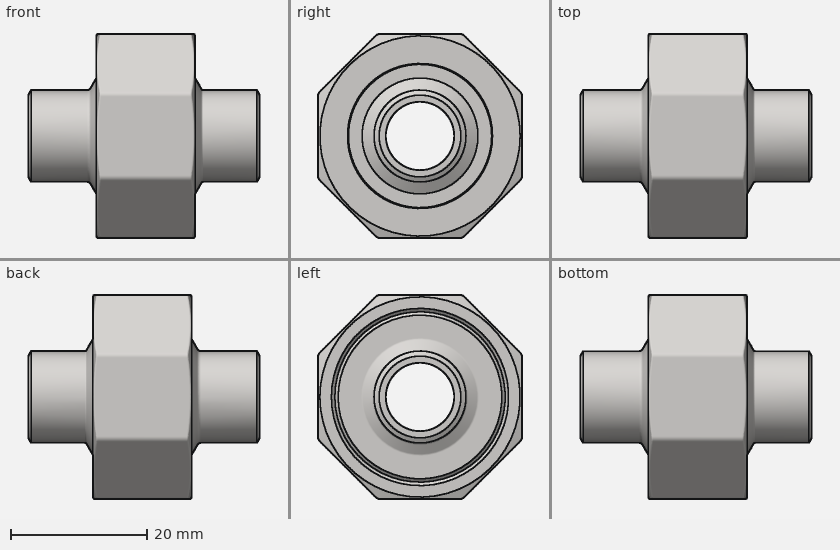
import cadquery as cq
import math

total_length = 34.0
left_end = -total_length / 2
right_end = total_length / 2
nut_left_face = -7.0
nut_right_face = 7.5
nut_length = nut_right_face - nut_left_face

side_count = 8
half_side_angle = 180 / side_count
across_flats = 30.0
corner_radius = 1.0
face_circle_radius = 14.7
end_bevel_angle = 20.0
bevel_edge_radius = 0.27
nut_bore_diameter = 25.0
bore_mouth_diameter = 26.0
web_thickness = 3.0
web_hole_diameter = 21.3

pipe_diameter = 13.5
bore_diameter = 10.0
bore_edge_radius = 0.2
pipe_end_face_diameter = 12.0
weld_bevel_angle = 60.0
cone_base_diameter = 17.0
cone_angle = 60.0
plug_cone_blend_radius = 0.5
collar_cone_blend_radius = 0.25
plug_face_diameter = 24.0
collar_diameter = 24.38
collar_thickness = 3.0
hub_diameter = 21.0

collar_right = nut_right_face - web_thickness
joint_plane = collar_right - collar_thickness


def axial_disc(start, end, diameter):
    """Solid cylinder on the X axis."""
    return cq.Workplane("YZ", origin=(start, 0, 0)).circle(diameter / 2).extrude(end - start)


def revolve_profile(points):
    """Turn (x, radius) points about the X axis."""
    return cq.Workplane("XY").polyline(points).close().revolve(360, (0, 0, 0), (1, 0, 0))


def circle_edges(body, x, radius):
    """Pick the circular edge of a turned body at a given x and radius."""
    tolerance = 0.005
    low = (x - tolerance, -radius - tolerance, -radius - tolerance)
    high = (x + tolerance, radius + tolerance, radius + tolerance)
    found = [
        edge
        for edge in body.edges(cq.selectors.BoxSelector(low, high, boundingbox=True)).vals()
        if edge.geomType() == "CIRCLE" and abs(edge.radius() - radius) < tolerance
    ]
    return body.newObject(found)


def make_nut():
    corner_diameter = across_flats / math.cos(math.radians(half_side_angle))
    nut = (
        cq.Workplane("YZ", origin=(nut_left_face, 0, 0))
        .transformed(rotate=(0, 0, half_side_angle))
        .polygon(side_count, corner_diameter)
        .extrude(nut_length)
        .edges("|X")
        .fillet(corner_radius)
    )

    outer = corner_diameter / 2
    bevel_depth = (outer - face_circle_radius) * math.tan(math.radians(end_bevel_angle))
    envelope = revolve_profile([
        (nut_left_face, 0),
        (nut_left_face, face_circle_radius),
        (nut_left_face + bevel_depth, outer),
        (nut_right_face - bevel_depth, outer),
        (nut_right_face, face_circle_radius),
        (nut_right_face, 0),
    ])
    nut = nut.intersect(envelope)
    side_end_edges = nut.faces("#X").edges("not(|X)")
    nut = side_end_edges.fillet(bevel_edge_radius)

    mouth_chamfer = (bore_mouth_diameter - nut_bore_diameter) / 2
    cavity = revolve_profile([
        (nut_left_face, 0),
        (nut_left_face, bore_mouth_diameter / 2),
        (nut_left_face + mouth_chamfer, nut_bore_diameter / 2),
        (collar_right, nut_bore_diameter / 2),
        (collar_right, web_hole_diameter / 2),
        (nut_right_face, web_hole_diameter / 2),
        (nut_right_face, 0),
    ])
    return nut.cut(cavity)


def cone_start(end, face):
    """Return the x where the cone that rises to a flange face leaves the pipe."""
    cone_height = (cone_base_diameter - pipe_diameter) / 2
    cone_length = cone_height / math.tan(math.radians(cone_angle))
    return face - math.copysign(cone_length, face - end)


def make_pipe(end, face):
    """Solid pipe from its open end to its flange face, with weld bevel and cone."""
    bevel_height = (pipe_diameter - pipe_end_face_diameter) / 2
    bevel_length = bevel_height / math.tan(math.radians(weld_bevel_angle))
    return revolve_profile([
        (end, 0),
        (end, pipe_end_face_diameter / 2),
        (end + math.copysign(bevel_length, face - end), pipe_diameter / 2),
        (cone_start(end, face), pipe_diameter / 2),
        (face, cone_base_diameter / 2),
        (face, 0),
    ])


def bore_through(body, end):
    """Cut the through bore and round its edge at the pipe's open end."""
    bored = body.cut(axial_disc(left_end, right_end, bore_diameter))
    return circle_edges(bored, end, bore_diameter / 2).fillet(bore_edge_radius)


def make_plug_tailpiece():
    edge_chamfer = (nut_bore_diameter - plug_face_diameter) / 2
    plug = axial_disc(nut_left_face, joint_plane, nut_bore_diameter).faces("<X").chamfer(edge_chamfer)
    tailpiece = make_pipe(left_end, nut_left_face).union(plug)
    cone_tip = cone_start(left_end, nut_left_face)
    tailpiece = circle_edges(tailpiece, cone_tip, pipe_diameter / 2).fillet(plug_cone_blend_radius)
    tailpiece = circle_edges(tailpiece, nut_left_face, cone_base_diameter / 2).fillet(plug_cone_blend_radius)
    return bore_through(tailpiece, left_end)


def make_collar_tailpiece():
    collar = axial_disc(joint_plane, collar_right, collar_diameter)
    hub = axial_disc(collar_right, nut_right_face, hub_diameter)
    tailpiece = make_pipe(right_end, nut_right_face).union(collar).union(hub)
    cone_tip = cone_start(right_end, nut_right_face)
    tailpiece = circle_edges(tailpiece, cone_tip, pipe_diameter / 2).fillet(collar_cone_blend_radius)
    return bore_through(tailpiece, right_end)


nut = make_nut()
plug_tailpiece = make_plug_tailpiece()
collar_tailpiece = make_collar_tailpiece()

result = cq.Compound.makeCompound([
    nut.solids().val(),
    plug_tailpiece.solids().val(),
    collar_tailpiece.solids().val(),
])